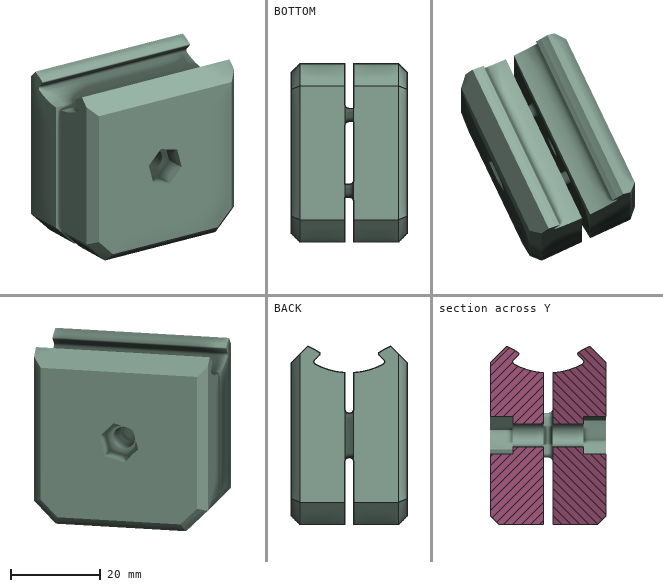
import cadquery as cq
import math

width = 26.0
length = 40.0
height = 40.0
gap = 2.0
inner_x = gap / 2
outer_x = width / 2

corner_cut = 5.0
face_chamfer = 2.0
crest_x = 9.25
flank_foot_z = height - (outer_x - crest_x)

bowl_bottom_z = 34.05
bowl_radius = 16.0
bowl_center_z = bowl_bottom_z + bowl_radius
lip_radius = 13.3
lip_ridge_x = 7.6
crest_radius = 18.0
undercut_offset = 5.4
lip_fillet = 0.3
groove_fillet = 0.6

bolt_z = height / 2
bolt_diameter = 5.0
nut_corner_diameter = 9.2
nut_pocket_depth = 5.0
nut_turn = -15.0

peg_thickness = 3.0
peg_height = 10.0
peg_corner_radius = 1.0
peg_y = 8.5
peg_root_fillet = 0.95


def arc_point(radius, x):
    """Point at x on the lower side of a circle about the bowl axis."""
    return x, bowl_center_z - math.sqrt(radius ** 2 - x ** 2)


def undercut_x(radius):
    """X where the 45 degree underside of the lip crosses a circle about the bowl axis."""
    return (math.sqrt(2 * radius ** 2 - undercut_offset ** 2) - undercut_offset) / 2


def make_blank():
    """Block with cut lower corners and a bevelled outer face."""
    half_length = length / 2
    blank = (
        cq.Workplane("YZ")
        .workplane(offset=inner_x)
        .moveTo(-half_length, height)
        .lineTo(-half_length, corner_cut)
        .lineTo(-half_length + corner_cut, 0)
        .lineTo(half_length - corner_cut, 0)
        .lineTo(half_length, corner_cut)
        .lineTo(half_length, height)
        .close()
        .extrude(outer_x - inner_x)
    )
    return blank.faces(">X").edges("not >Z").chamfer(face_chamfer)


def make_profile_bar():
    """Bar along Y whose section carries the cradle, the lip and the outer flank."""
    bowl_start = arc_point(bowl_radius, inner_x)
    groove = arc_point(bowl_radius, undercut_x(bowl_radius))
    bowl_middle = arc_point(bowl_radius, (inner_x + groove[0]) / 2)
    lip_tip = arc_point(lip_radius, undercut_x(lip_radius))
    lip_ridge = arc_point(lip_radius, lip_ridge_x)
    lip_middle = arc_point(lip_radius, (lip_tip[0] + lip_ridge[0]) / 2)
    bar = (
        cq.Workplane("XZ")
        .moveTo(inner_x, 0)
        .lineTo(*bowl_start)
        .threePointArc(bowl_middle, groove)
        .lineTo(*lip_tip)
        .threePointArc(lip_middle, lip_ridge)
        .radiusArc((crest_x, height), -crest_radius)
        .lineTo(outer_x, flank_foot_z)
        .lineTo(outer_x, 0)
        .close()
        .extrude(length / 2, both=True)
    )
    for (x, z), radius in ((lip_tip, lip_fillet), (groove, groove_fillet)):
        bar = bar.edges(cq.NearestToPointSelector((x, 0, z))).fillet(radius)
    return bar


def make_bolt_cutter():
    """Round bolt hole joined to the hexagonal nut pocket."""
    hole = (
        cq.Workplane("YZ")
        .center(0, bolt_z)
        .circle(bolt_diameter / 2)
        .extrude(outer_x)
    )
    nut_pocket = (
        cq.Workplane("YZ")
        .workplane(offset=outer_x - nut_pocket_depth)
        .center(0, bolt_z)
        .transformed(rotate=(0, 0, nut_turn))
        .polygon(6, nut_corner_diameter)
        .extrude(nut_pocket_depth)
    )
    return hole.union(nut_pocket)


def make_peg():
    """Rounded rectangular peg spanning the gap."""
    return (
        cq.Workplane("YZ")
        .workplane(offset=-inner_x)
        .center(peg_y, bolt_z)
        .rect(peg_thickness, peg_height)
        .extrude(gap)
        .edges("|X")
        .fillet(peg_corner_radius)
    )


def fillet_peg_root(half):
    """Blend the peg into the inner face of its half."""
    margin = peg_corner_radius / 2
    reach_y = peg_thickness / 2 + margin
    reach_z = peg_height / 2 + margin
    root = cq.selectors.BoxSelector(
        (inner_x - margin, peg_y - reach_y, bolt_z - reach_z),
        (inner_x + margin, peg_y + reach_y, bolt_z + reach_z),
    )
    return half.edges(root).fillet(peg_root_fillet)


def make_clamp_half():
    """Complete clamp half on the +X side of the slot."""
    half = make_blank().intersect(make_profile_bar())
    half = fillet_peg_root(half.union(make_peg()))
    return half.cut(make_bolt_cutter())


clamp_halves = []
for turn in (0, 180):
    clamp_half = make_clamp_half().rotate((0, 0, 0), (0, 0, 1), turn)
    clamp_halves.append(clamp_half.val())

result = cq.Compound.makeCompound(clamp_halves)